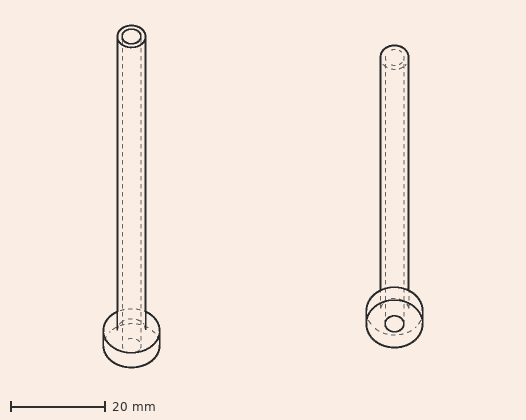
import cadquery as cq

total_length = 105.0
head_diameter = 12.0
head_height = 5.0
tube_diameter = 6.0
bore_diameter = 4.0
root_fillet = 0.5

head = cq.Workplane("XY").circle(head_diameter / 2).extrude(head_height)
tube = cq.Workplane("XY").circle(tube_diameter / 2).extrude(total_length)
body = head.union(tube)

root_corner = cq.selectors.RadiusNthSelector(0)
body = body.faces(cq.selectors.NearestToPointSelector((0, 0, head_height))).edges(root_corner).fillet(root_fillet)

bore = cq.Workplane("XY").circle(bore_diameter / 2).extrude(total_length)
result = body.cut(bore)